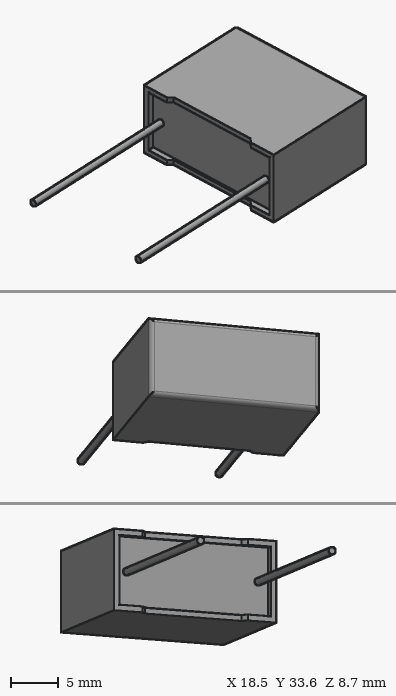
import cadquery as cq


overall_length = 33.6
case_width = 18.5
case_height = 8.7
case_length = 14.58
wall = 0.65
closed_end_radius = 0.5

notch_depth = 0.5
notch_floor_width = 11.0
notch_mouth_width = notch_floor_width + 2 * notch_depth

filler_recess = 0.75
cavity_width = case_width - 2 * wall
cavity_height = case_height - 2 * wall
cavity_end = case_length - wall

lead_diameter = 0.8
lead_spacing = 15.0
lead_tip_y = case_length - overall_length


def block(width, height, y_start, y_end):
    """Rectangular block centred on X and Z, spanning y_start to y_end."""
    length = y_end - y_start
    return cq.Workplane("XY").box(width, length, height).translate((0, y_start + length / 2, 0))


def make_notch_cutter():
    """Trapezoid that relieves the rim of both wide walls."""
    return (
        cq.Workplane("XY")
        .polyline([
            (-notch_mouth_width / 2, 0),
            (notch_mouth_width / 2, 0),
            (notch_floor_width / 2, notch_depth),
            (-notch_floor_width / 2, notch_depth),
        ])
        .close()
        .extrude(case_height / 2, both=True)
    )


def make_case():
    """Open box with a rounded closed end and a notched rim."""
    shell = block(case_width, case_height, 0, case_length).faces(">Y").edges().fillet(closed_end_radius)
    cavity = block(cavity_width, cavity_height, 0, cavity_end)
    return shell.cut(cavity).cut(make_notch_cutter())


def make_filler():
    """Potting block that fills the cavity behind the recess."""
    return block(cavity_width, cavity_height, filler_recess, cavity_end)


def make_lead(x):
    """Round wire running from the potting surface to the lead tip."""
    return (
        cq.Workplane("XZ", origin=(x, filler_recess, 0))
        .circle(lead_diameter / 2)
        .extrude(filler_recess - lead_tip_y)
    )


case = make_case()
filler = make_filler()
leads = [make_lead(side * lead_spacing / 2) for side in (-1, 1)]

result = cq.Compound.makeCompound([case.val(), filler.val(), *[lead.val() for lead in leads]])